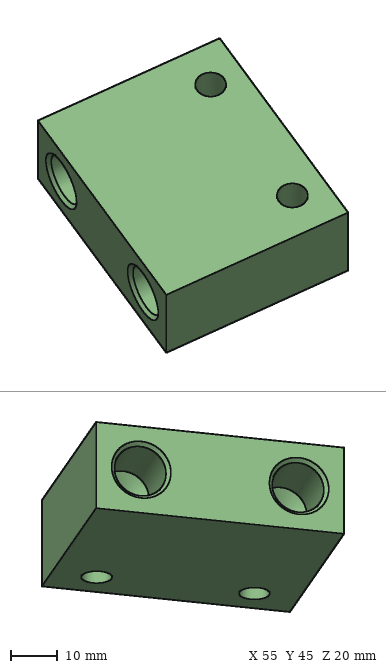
import cadquery as cq
import math

length = 55
depth = 45.0
height = 20.0

hole_spacing = 35.0
hole_positions = (-hole_spacing / 2, hole_spacing / 2)

mounting_diameter = 6.6
mounting_setback = 8.05

port_diameter = 11.45
port_mouth_diameter = 13.15
port_depth = 15.0
drill_point_angle = 118
mouth_chamfer_angle = 45


def mounting_hole(x):
    """Cylinder passing vertically through the block."""
    return (
        cq.Workplane("XY", origin=(x, depth - mounting_setback, -height / 2))
        .circle(mounting_diameter / 2)
        .extrude(height)
    )


def port(x):
    """Blind bore along +Y with a chamfered mouth and a conical drill point."""
    bore_radius = port_diameter / 2
    mouth_radius = port_mouth_diameter / 2
    chamfer_depth = (mouth_radius - bore_radius) / math.tan(math.radians(mouth_chamfer_angle))
    point_depth = bore_radius / math.tan(math.radians(drill_point_angle / 2))
    return (
        cq.Workplane("XY")
        .polyline([
            (0, 0),
            (mouth_radius, 0),
            (bore_radius, chamfer_depth),
            (bore_radius, port_depth),
            (0, port_depth + point_depth),
        ])
        .close()
        .revolve(360, (0, 0, 0), (0, 1, 0))
        .translate((x, 0, 0))
    )


result = cq.Workplane("XY").box(length, depth, height, centered=(True, False, True))
for hole_x in hole_positions:
    result = result.cut(mounting_hole(hole_x)).cut(port(hole_x))